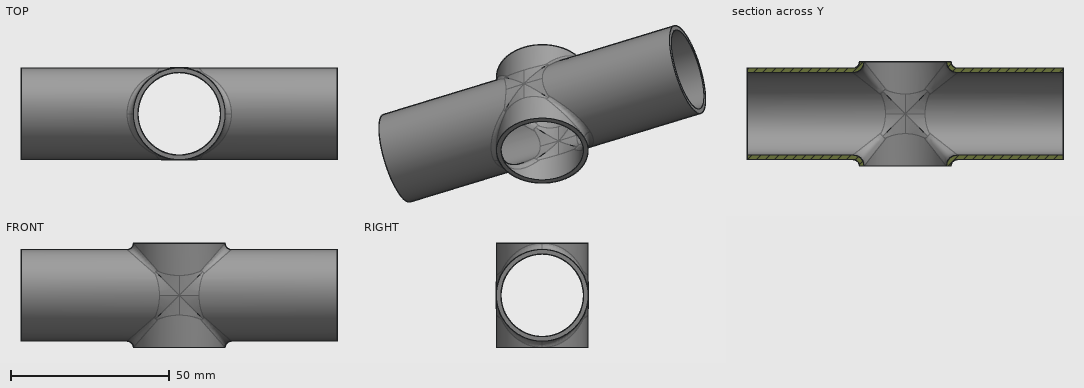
import cadquery as cq
import math

outer_diameter = 29.0
bore_diameter = 26.0
run_length = 100.0
branch_length = 33.0

patch_rise = 0.115
patch_half_waist = 6.26
patch_corner_ratio = 0.47
patch_corner_overlap = 0.3
patch_ring_fractions = (0.4, 0.75)

fillet_start_ratio = 0.40
end_trim = 5.0
pocket_floor_ratio = 0.5
plug_depth_ratio = 0.75

branch_half_length = branch_length / 2
patch_corner_far = branch_half_length * patch_corner_ratio


def crossed_cylinders(radius):
    """Two equal cylinders, along X and Z, that cross at the origin."""
    run = cq.Workplane("ZY").circle(radius).extrude(run_length / 2, both=True)
    branch = cq.Workplane("XY").circle(radius).extrude(branch_half_length + end_trim, both=True)
    return run.union(branch)


def filleted_corner(radius):
    """The +X +Z corner of the cross with its inside edge rounded, short of the crotches."""
    start = fillet_start_ratio * (branch_half_length + radius)
    limit = run_length / 2
    wedge = (
        cq.Workplane("XZ")
        .polyline([(start, 0), (limit, 0), (limit, limit), (0, limit), (0, start)])
        .close()
        .extrude(outer_diameter, both=True)
    )
    corner = crossed_cylinders(radius).intersect(wedge)
    on_diagonal = cq.selectors.BoxSelector(
        (radius / 2, -radius, radius / 2), (radius, radius, radius)
    )
    return corner.edges(on_diagonal).fillet(branch_half_length - radius)


def patch_outline(radius):
    """Eight-sided XZ outline: four concave arcs joined by short lines across the fillets."""
    far = patch_corner_far
    near = far * radius / branch_half_length + patch_corner_overlap
    waist = patch_half_waist
    return (
        cq.Workplane("XZ")
        .moveTo(far, -near)
        .threePointArc((waist, 0), (far, near))
        .lineTo(near, far)
        .threePointArc((0, waist), (-near, far))
        .lineTo(-far, near)
        .threePointArc((-waist, 0), (-far, -near))
        .lineTo(-near, -far)
        .threePointArc((0, -waist), (near, -far))
        .close()
    )


def patch_points(radius):
    """Points that a crotch patch passes through: its centre, its axes and its diagonals."""
    points = [cq.Vector(0, radius + patch_rise, 0)]
    for fraction in patch_ring_fractions:
        offset = patch_half_waist * fraction
        axis_height = radius + patch_rise * (1 - fraction**2) ** 2
        diagonal_height = math.sqrt(radius**2 - offset**2) + patch_rise
        for side in (-1, 1):
            points.append(cq.Vector(side * offset, axis_height, 0))
            points.append(cq.Vector(0, axis_height, side * offset))
            points.append(cq.Vector(side * offset, diagonal_height, offset))
            points.append(cq.Vector(side * offset, diagonal_height, -offset))
    return points


def symmetric_plug_halves(plug):
    """Upper and lower halves of a plug, mirrored from one eighth so its patch has eight equal faces."""
    sector = (
        cq.Workplane("XZ")
        .polyline([(0, 0), (branch_half_length, 0), (branch_half_length, branch_half_length)])
        .close()
        .extrude(-outer_diameter)
    )
    diagonal_normal = (1, 0, -1)
    eighth = cq.Workplane(plug).intersect(sector)
    quarter = eighth.union(eighth.mirror(diagonal_normal))
    half = quarter.union(quarter.mirror("YZ"))
    return half, half.mirror("XY")


def add_crotch_patch(half_body, radius):
    """Replace the +Y crotch, where the four fillets meet, by a smooth patch."""
    floor = radius * pocket_floor_ratio
    prism = patch_outline(radius).extrude(-2 * radius).translate((0, floor, 0))
    pocketed = half_body.cut(prism)
    reach = patch_corner_far
    around_rim = cq.selectors.BoxSelector(
        (-reach, floor + patch_rise, -reach), (reach, radius + patch_rise, reach)
    )
    rim = pocketed.edges(around_rim).edges("not |Y").vals()
    patch = cq.Face.makeNSidedSurface(rim, patch_points(radius))
    plug = cq.Solid.extrudeLinear(patch, cq.Vector(0, -radius * plug_depth_ratio, 0))
    upper_half, lower_half = symmetric_plug_halves(plug)
    return pocketed.union(upper_half).union(lower_half)


def blended_cross(radius):
    """Solid cross with filleted junctions and patched crotches."""
    corner = filleted_corner(radius)
    upper = corner.union(corner.mirror("YZ"))
    body = crossed_cylinders(radius).union(upper).union(upper.mirror("XY"))
    half_space = cq.Workplane("XY").box(
        run_length, outer_diameter, branch_length, centered=(True, False, True)
    )
    half_body = add_crotch_patch(body.intersect(half_space), radius)
    return half_body.union(half_body.mirror("XZ"))


result = blended_cross(outer_diameter / 2).cut(blended_cross(bore_diameter / 2))